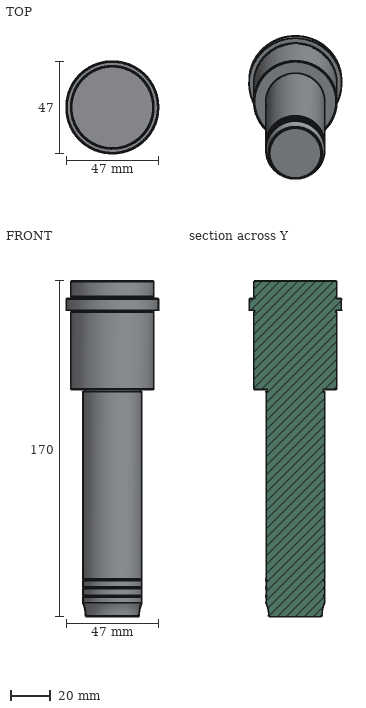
import cadquery as cq

length = 170.0
head_radius = 21.0
collar_radius = 23.5
stem_radius = 15.0

collar_top = length - 8.8
collar_bottom = length - 15.0
body_bottom = length - 55.0
edge_chamfer = 0.5

relief_width = 1.0
relief_depth = 0.5
neck_depth = 0.7

groove_count = 3
groove_pitch = 4.0
groove_width = 1.0
groove_depth = 0.5
lowest_groove_center = 10.5

flare_top = 7.1
tip_radius = 13.6
flare_mid_radius = 14.0
tip_chamfer = 0.7


def cylinder(radius, bottom, top):
    return cq.Workplane("XY").workplane(offset=bottom).circle(radius).extrude(top - bottom)


def ring_groove(outer_radius, depth, bottom, width):
    """Square-section ring cutter that leaves a core smaller by depth."""
    return (
        cq.Workplane("XY")
        .workplane(offset=bottom)
        .circle(outer_radius)
        .circle(outer_radius - depth)
        .extrude(width)
    )


def v_groove(outer_radius, depth, bottom, width):
    """V-section ring cutter with its point towards the axis."""
    return (
        cq.Workplane("XZ")
        .moveTo(outer_radius, bottom)
        .lineTo(outer_radius - depth, bottom + width / 2)
        .lineTo(outer_radius, bottom + width)
        .close()
        .revolve(360, (0, 0, 0), (0, 1, 0))
    )


def make_stem():
    stem = (
        cq.Workplane("XZ")
        .moveTo(0, 0)
        .lineTo(tip_radius - tip_chamfer, 0)
        .lineTo(tip_radius, tip_chamfer)
        .threePointArc(
            (flare_mid_radius, (tip_chamfer + flare_top) / 2),
            (stem_radius, flare_top),
        )
        .lineTo(stem_radius, body_bottom)
        .lineTo(0, body_bottom)
        .close()
        .revolve(360, (0, 0, 0), (0, 1, 0))
    )
    for index in range(groove_count):
        bottom = lowest_groove_center + index * groove_pitch - groove_width / 2
        stem = stem.cut(v_groove(stem_radius, groove_depth, bottom, groove_width))
    neck_bottom = body_bottom - relief_width
    return stem.cut(ring_groove(stem_radius, neck_depth, neck_bottom, relief_width))


def make_head():
    head = cylinder(head_radius, body_bottom, length).faces("<Z or >Z").chamfer(edge_chamfer)
    for bottom in (collar_top, collar_bottom - relief_width):
        head = head.cut(v_groove(head_radius, relief_depth, bottom, relief_width))
    collar = cylinder(collar_radius, collar_bottom, collar_top)
    return head.union(collar.faces(">Z").edges().chamfer(edge_chamfer))


result = make_stem().union(make_head())